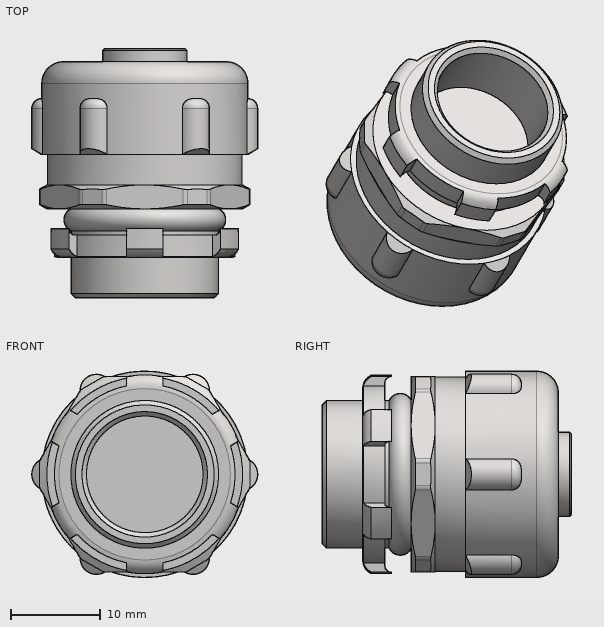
import cadquery as cq
import math


LOCKNUT_FRONT = 4.55
LOCKNUT_BACK = 7.05
LUG_BACK = 7.8
SEAL_CENTRE = 8.78
HEX_FRONT = 10.0
HEX_BACK = 12.7
CAP_FRONT = 16.1
CAP_BACK = 26.55
TOTAL_LENGTH = 28.0

THREAD_DIAMETER = 16.6
THREAD_CHAMFER = 0.5
BORE_DIAMETER = 13.1
BORE_CHAMFER = 0.5
BORE_DEPTH = 7.55

LOCKNUT_RADIUS = 10.15
LOCKNUT_FACE_RADIUS = 9.63
LUG_RADIUS = 11.17
LUG_WIDTH = 4.1
LUG_ROUND_LENGTH = 0.95
LUG_HOLLOW_RADIUS = LUG_BACK - LOCKNUT_BACK
LUG_FIRST_ANGLE = 30.0

SEAL_OUTER_RADIUS = 9.1
SEAL_SECTION_RADIUS = 1.37

HEX_FLATS = 22.0
HEX_CORNERS = 23.64
HEX_CORNER_ROUND = 1.0
HEX_CHAMFER_ANGLE = 30.0

BODY_DIAMETER = 21.9
CAP_DIAMETER = 23.2
CAP_ROUND = 2.45
BUSH_DIAMETER = 9.5
BUSH_CHAMFER = 0.2

RIB_TIP_RADIUS = 12.7
RIB_ROUND = 1.85
RIB_BACK = 22.4
RIB_BACK_ROUND = 1.1
RIB_CHAMFER_RADIAL = 1.1
RIB_CHAMFER_LENGTH = 0.67

SIDES = 6
STEP_ANGLE = 360.0 / SIDES


def revolve_about_axis(profile):
    """Turn a closed (radius, Y) profile about the Y axis."""
    return profile.revolve(360, (0, 0, 0), (0, 1, 0))


def disc(radius, start, end):
    """Cylinder on the Y axis between two stations."""
    return cq.Workplane("XZ", origin=(0, start, 0)).circle(radius).extrude(start - end)


def around_axis(shape, first_angle=0.0):
    """Six copies of a shape, evenly spaced about the Y axis."""
    ring = cq.Workplane("XY")
    for index in range(SIDES):
        angle = first_angle + index * STEP_ANGLE
        ring = ring.add(shape.rotate((0, 0, 0), (0, 1, 0), angle))
    return ring.combine()


def make_sleeve():
    sleeve = disc(THREAD_DIAMETER / 2, 0, HEX_FRONT)
    return sleeve.faces("<Y").chamfer(THREAD_CHAMFER)


def make_bore():
    bore_radius = BORE_DIAMETER / 2
    profile = (
        cq.Workplane("XY")
        .lineTo(bore_radius + BORE_CHAMFER, 0)
        .lineTo(bore_radius, BORE_CHAMFER)
        .lineTo(bore_radius, BORE_DEPTH)
        .lineTo(0, BORE_DEPTH)
        .close()
    )
    return revolve_about_axis(profile)


def make_locknut():
    """Ring with a rounded front edge, its six lugs hollowed behind and reaching past the back face."""
    round_depth = LUG_RADIUS - LOCKNUT_FACE_RADIUS
    round_radius = (round_depth**2 + LUG_ROUND_LENGTH**2) / (2 * LUG_ROUND_LENGTH)
    half_sweep = math.asin(round_depth / round_radius) / 2
    round_middle = (
        LOCKNUT_FACE_RADIUS + round_radius * math.sin(half_sweep),
        LOCKNUT_FRONT + round_radius * (1 - math.cos(half_sweep)),
    )
    hollow_centre_radius = LUG_RADIUS - LUG_HOLLOW_RADIUS
    hollow_diagonal = LUG_HOLLOW_RADIUS * math.sqrt(0.5)
    hollow_middle = (hollow_centre_radius + hollow_diagonal, LUG_BACK - hollow_diagonal)
    flange = revolve_about_axis(
        cq.Workplane("XY")
        .moveTo(0, LOCKNUT_FRONT)
        .lineTo(LOCKNUT_FACE_RADIUS, LOCKNUT_FRONT)
        .threePointArc(round_middle, (LUG_RADIUS, LOCKNUT_FRONT + LUG_ROUND_LENGTH))
        .lineTo(LUG_RADIUS, LUG_BACK)
        .threePointArc(hollow_middle, (hollow_centre_radius, LOCKNUT_BACK))
        .lineTo(0, LOCKNUT_BACK)
        .close()
    )
    lug_blank = cq.Workplane("XY").box(
        HEX_CORNERS / 2, LUG_BACK, LUG_WIDTH, centered=(False, False, True)
    )
    outline = disc(LOCKNUT_RADIUS, LOCKNUT_FRONT, LOCKNUT_BACK)
    return flange.intersect(outline.union(around_axis(lug_blank, LUG_FIRST_ANGLE)))


def make_seal():
    """Torus whose inner part is buried in the sleeve."""
    centre_radius = SEAL_OUTER_RADIUS - SEAL_SECTION_RADIUS
    section = (
        cq.Workplane("XY")
        .moveTo(centre_radius, SEAL_CENTRE - SEAL_SECTION_RADIUS)
        .threePointArc((SEAL_OUTER_RADIUS, SEAL_CENTRE), (centre_radius, SEAL_CENTRE + SEAL_SECTION_RADIUS))
        .close()
    )
    return revolve_about_axis(section)


def make_hexagon():
    """Hexagon with corners on the X axis, cut off flat, rounded and chamfered at both ends."""
    corners_per_flats = 1 / math.cos(math.radians(STEP_ANGLE / 2))
    full_corners = HEX_FLATS * corners_per_flats
    plane = cq.Workplane("XZ", origin=(0, HEX_FRONT, 0))
    length = HEX_BACK - HEX_FRONT
    corner_cut = (
        plane.transformed(rotate=(0, 0, STEP_ANGLE / 2))
        .polygon(SIDES, HEX_CORNERS * corners_per_flats)
        .extrude(-length)
    )
    hexagon = plane.polygon(SIDES, full_corners).extrude(-length).intersect(corner_cut)
    hexagon = hexagon.edges("|Y").fillet(HEX_CORNER_ROUND)

    chamfer_base = HEX_FLATS / 2
    chamfer_rim = full_corners / 2
    chamfer_length = (chamfer_rim - chamfer_base) * math.tan(math.radians(HEX_CHAMFER_ANGLE))
    envelope = revolve_about_axis(
        cq.Workplane("XY")
        .moveTo(0, HEX_FRONT)
        .lineTo(chamfer_base, HEX_FRONT)
        .lineTo(chamfer_rim, HEX_FRONT + chamfer_length)
        .lineTo(chamfer_rim, HEX_BACK - chamfer_length)
        .lineTo(chamfer_base, HEX_BACK)
        .lineTo(0, HEX_BACK)
        .close()
    )
    return hexagon.intersect(envelope)


def make_body():
    return disc(BODY_DIAMETER / 2, HEX_BACK, CAP_FRONT)


def make_cap():
    return disc(CAP_DIAMETER / 2, CAP_FRONT, CAP_BACK).faces(">Y").edges().fillet(CAP_ROUND)


def make_ribs():
    """Half-round ribs, bevelled at the front and rounded at the back."""
    rib_centre = RIB_TIP_RADIUS - RIB_ROUND
    rib = (
        cq.Workplane("XZ", origin=(rib_centre, CAP_FRONT, 0))
        .circle(RIB_ROUND)
        .extrude(CAP_FRONT - RIB_BACK)
    )
    rib = rib.faces(">Y").edges().fillet(RIB_BACK_ROUND)
    envelope = revolve_about_axis(
        cq.Workplane("XY")
        .moveTo(0, CAP_FRONT)
        .lineTo(RIB_TIP_RADIUS - RIB_CHAMFER_RADIAL, CAP_FRONT)
        .lineTo(RIB_TIP_RADIUS, CAP_FRONT + RIB_CHAMFER_LENGTH)
        .lineTo(RIB_TIP_RADIUS, RIB_BACK)
        .lineTo(0, RIB_BACK)
        .close()
    )
    return around_axis(rib.intersect(envelope))


def make_bush():
    bush = disc(BUSH_DIAMETER / 2, CAP_BACK, TOTAL_LENGTH)
    return bush.faces(">Y").chamfer(BUSH_CHAMFER)


result = (
    make_sleeve()
    .union(make_locknut())
    .union(make_seal())
    .union(make_hexagon())
    .union(make_body())
    .union(make_cap())
    .union(make_ribs())
    .union(make_bush())
    .cut(make_bore())
)